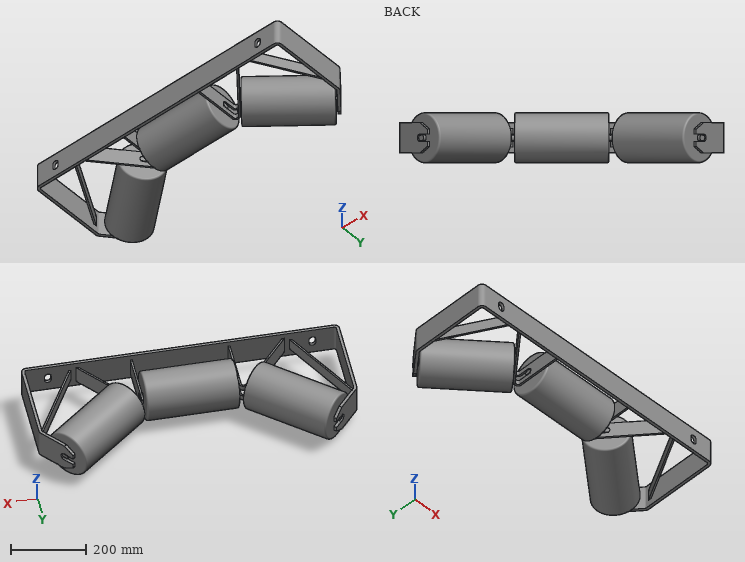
import cadquery as cq
import math


FRAME_LENGTH = 860.0
FRAME_HEIGHT = 80.0
FRAME_THICKNESS = 9.0
FRAME_BEND_RADIUS = 15.0
ARM_BEND_Y = 248.5
ARM_LENGTH = 114.0
TIP_CUT_ALONG = 29.0
TIP_CUT_ACROSS = 17.0
TROUGH_ANGLE = 40.0

MOUNT_SPACING = 715.5
MOUNT_WIDTH = 18.0
MOUNT_HEIGHT = 29.0

ROLLER_DIAMETER = 133.0
ROLLER_LENGTH = 250.0
ROLLER_EDGE_RADIUS = 5.0
CENTRE_ROLLER_Y = 125.5
WING_ROLLER_X = 270.0
WING_ROLLER_Y = 224.0

SHAFT_DIAMETER = 20.0
SHAFT_LENGTH = 268.0
FLAT_WIDTH = 15.0
FLAT_START = 128.0
SLOT_REACH = 15.5
SLOT_OPENING = 52.0

BRACKET_THICKNESS = 5.0
BRACKET_HEIGHT = 50.0
BRACKET_BEND_RADIUS = 10.0
BRACKET_UPRIGHT_X = 130.0
BRACKET_TOP_X = 149.0
BRACKET_TOP_Y = 168.0

BRACE_THICKNESS = 5.0
BRACE_HEIGHT = 34.0
BRACE_SIDE_Y = 236.0
BRACE_BASE_X = 296.0

HALF_LENGTH = FRAME_LENGTH / 2
TILT = math.radians(TROUGH_ANGLE)


def mirrored(body):
    """Left-hand counterpart of a right-hand body."""
    return body.mirror("YZ")


def prism(outline, height):
    """Closed XY outline extruded to a full height centred on Z = 0."""
    return cq.Workplane("XY").polyline(outline).close().extrude(height / 2, both=True)


def offset_path(path, distance):
    """Open polyline shifted to its left by a distance, with mitred corners."""
    headings = [math.atan2(b[1] - a[1], b[0] - a[0]) for a, b in zip(path, path[1:])]
    arriving = [headings[0]] + headings
    leaving = headings + [headings[-1]]
    shifted = []
    for (x, y), heading_in, heading_out in zip(path, arriving, leaving):
        middle = (heading_in + heading_out) / 2
        reach = distance / math.cos((heading_out - heading_in) / 2)
        shifted.append((x - reach * math.sin(middle), y + reach * math.cos(middle)))
    return shifted


def bent_strip(outer, thickness, bend_radius, height):
    """Strip whose outer face follows a path of sharp corners, with the metal on its left."""
    inner = offset_path(outer, thickness)
    strip = prism(outer + inner[::-1], height)
    for path, radius in ((outer, bend_radius), (inner, bend_radius - thickness)):
        for x, y in path[1:-1]:
            strip = strip.edges(cq.NearestToPointSelector((x, y, 0))).fillet(radius)
    return strip


def wing_placed(body):
    """Move a body from the centre roller's place to the right wing roller's place."""
    return (
        body.translate((0, -CENTRE_ROLLER_Y, 0))
        .rotate((0, 0, 0), (0, 0, 1), TROUGH_ANGLE)
        .translate((WING_ROLLER_X, WING_ROLLER_Y, 0))
    )


def axial_cylinder(diameter, start_x, length):
    """Cylinder on the centre roller's axis."""
    return (
        cq.Workplane("YZ", origin=(start_x, CENTRE_ROLLER_Y, 0))
        .circle(diameter / 2)
        .extrude(length)
    )



def roller():
    """Roller with its shaft ends, in the centre roller's place."""
    barrel = (
        axial_cylinder(ROLLER_DIAMETER, -ROLLER_LENGTH / 2, ROLLER_LENGTH)
        .edges("%CIRCLE")
        .fillet(ROLLER_EDGE_RADIUS)
    )
    shaft = axial_cylinder(SHAFT_DIAMETER, -SHAFT_LENGTH / 2, SHAFT_LENGTH)
    above_flat = (
        cq.Workplane("XY")
        .box(SHAFT_LENGTH, SHAFT_DIAMETER, SHAFT_DIAMETER, centered=(False, True, False))
        .translate((FLAT_START, CENTRE_ROLLER_Y, FLAT_WIDTH / 2))
    )
    for cutter in (above_flat, above_flat.mirror("XY")):
        shaft = shaft.cut(cutter).cut(mirrored(cutter))
    return barrel.union(shaft)


def shaft_slot():
    """Cutter for the round-bottomed slot, open upward, at the centre roller's right end."""
    start_x = ROLLER_LENGTH / 2
    mouth = (
        cq.Workplane("XY")
        .box(SLOT_REACH, SLOT_OPENING, SHAFT_DIAMETER, centered=(False, False, True))
        .translate((start_x, CENTRE_ROLLER_Y, 0))
    )
    return axial_cylinder(SHAFT_DIAMETER, start_x, SLOT_REACH).union(mouth)



def arm_tip_cuts(tip_x, tip_y):
    """Corner cutters that taper the tip of the right arm."""
    arm_plane = cq.Plane(
        origin=(tip_x, tip_y, 0),
        xDir=(-math.sin(TILT), math.cos(TILT), 0),
        normal=(math.cos(TILT), math.sin(TILT), 0),
    )
    half_height = FRAME_HEIGHT / 2
    upper = (
        cq.Workplane(arm_plane)
        .polyline([
            (-TIP_CUT_ALONG, half_height),
            (0, half_height),
            (0, half_height - TIP_CUT_ACROSS),
        ])
        .close()
        .extrude(2 * FRAME_THICKNESS, both=True)
    )
    return upper.union(upper.mirror("XY"))


def mounting_slots():
    return (
        cq.Workplane("XZ", origin=(0, FRAME_THICKNESS, 0))
        .pushPoints([(-MOUNT_SPACING / 2, 0), (MOUNT_SPACING / 2, 0)])
        .slot2D(MOUNT_HEIGHT, MOUNT_WIDTH, 90)
        .extrude(FRAME_THICKNESS)
    )


def frame():
    tip_x = HALF_LENGTH - ARM_LENGTH * math.sin(TILT)
    tip_y = ARM_BEND_Y + ARM_LENGTH * math.cos(TILT)
    right_side = [(HALF_LENGTH, 0), (HALF_LENGTH, ARM_BEND_Y), (tip_x, tip_y)]
    left_side = [(-x, y) for x, y in reversed(right_side)]
    strip = bent_strip(left_side + right_side, FRAME_THICKNESS, FRAME_BEND_RADIUS, FRAME_HEIGHT)
    for cutter in (arm_tip_cuts(tip_x, tip_y), wing_placed(shaft_slot())):
        strip = strip.cut(cutter).cut(mirrored(cutter))
    return strip.cut(mounting_slots())



def right_bracket():
    """Bent bracket that seats the right end of the centre shaft and the inner wing shaft end."""
    foot_x = BRACKET_TOP_X + (BRACKET_TOP_Y - FRAME_THICKNESS) * math.tan(TILT)
    outer = [
        (foot_x, FRAME_THICKNESS),
        (BRACKET_TOP_X, BRACKET_TOP_Y),
        (BRACKET_UPRIGHT_X, BRACKET_TOP_Y),
        (BRACKET_UPRIGHT_X, FRAME_THICKNESS),
    ]
    strip = bent_strip(outer, BRACKET_THICKNESS, BRACKET_BEND_RADIUS, BRACKET_HEIGHT)
    long_side = cq.Workplane("XY").box(
        FRAME_LENGTH, FRAME_THICKNESS, FRAME_HEIGHT, centered=(True, False, True)
    )
    return strip.cut(long_side).cut(shaft_slot()).cut(wing_placed(mirrored(shaft_slot())))


def right_brace():
    """Flat diagonal brace with its ends flush against the frame's side and long side."""
    side_x = HALF_LENGTH - FRAME_THICKNESS
    slope = math.atan2(BRACE_SIDE_Y - FRAME_THICKNESS, side_x - BRACE_BASE_X)
    outline = [
        (BRACE_BASE_X, FRAME_THICKNESS),
        (side_x, BRACE_SIDE_Y),
        (side_x, BRACE_SIDE_Y - BRACE_THICKNESS / math.cos(slope)),
        (BRACE_BASE_X + BRACE_THICKNESS / math.sin(slope), FRAME_THICKNESS),
    ]
    return prism(outline, BRACE_HEIGHT)


bodies = [frame(), roller()]
for right_body in (wing_placed(roller()), right_bracket(), right_brace()):
    bodies += [right_body, mirrored(right_body)]

result = cq.Compound.makeCompound([body.val() for body in bodies])